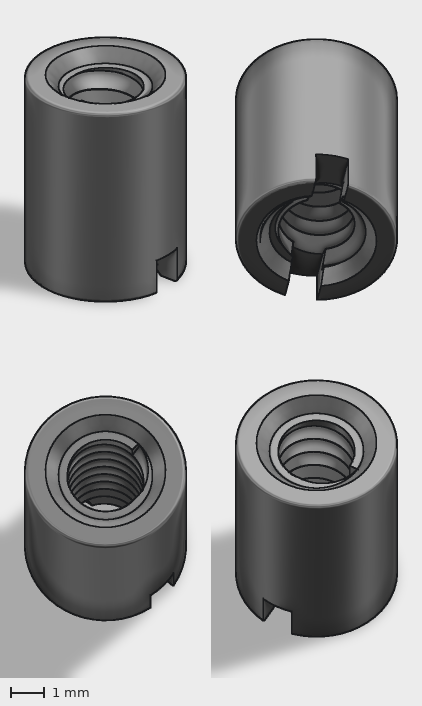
import cadquery as cq
import math

outer_diameter = 4.78
length = 6.4
rim_fillet = 0.12

bore_diameter = 2.26
thread_pitch = 0.635
thread_half_angle = math.radians(30)
crest_width = 0.02
thread_turns = 10
bore_overlap = 0.01

countersink_diameter = 3.55
ledge_diameter = 2.78
countersink_depth = (countersink_diameter - ledge_diameter) / 2

slot_width = 0.97
slot_depth = 1.15

bore_radius = bore_diameter / 2
ledge_radius = ledge_diameter / 2


def make_body():
    """Round sleeve with rounded outer rims."""
    body = cq.Workplane("XY").circle(outer_diameter / 2).extrude(length)
    return body.faces("<Z or >Z").edges().fillet(rim_fillet)


def make_bore():
    """Plain bore with a countersink at both ends, revolved about Z."""
    mouth_radius = countersink_diameter / 2
    top_ledge = length - countersink_depth
    profile = (
        cq.Workplane("XZ")
        .moveTo(0, 0)
        .lineTo(mouth_radius, 0)
        .lineTo(ledge_radius, countersink_depth)
        .lineTo(bore_radius, countersink_depth)
        .lineTo(bore_radius, top_ledge)
        .lineTo(ledge_radius, top_ledge)
        .lineTo(mouth_radius, length)
        .lineTo(0, length)
        .close()
    )
    return profile.revolve(360, (0, 0, 0), (0, 1, 0))


def make_thread_groove():
    """Right-hand V groove that starts on the -Y side of the top ledge and runs out at the bottom.

    At its start the upper flank meets the ledge at the outer edge of the ledge.
    """
    flank_slope = math.tan(thread_half_angle)
    half_width = (thread_pitch - crest_width) / 2
    root_radius = bore_radius + half_width / flank_slope
    inner_radius = bore_radius - bore_overlap
    inner_half_width = half_width + bore_overlap * flank_slope

    start_height = length - countersink_depth - (root_radius - ledge_radius) * flank_slope
    helix_height = thread_turns * thread_pitch
    helix = cq.Wire.makeHelix(thread_pitch, helix_height, bore_radius)
    groove = (
        cq.Workplane("XZ")
        .moveTo(inner_radius, -inner_half_width)
        .lineTo(root_radius, 0)
        .lineTo(inner_radius, inner_half_width)
        .close()
        .sweep(helix, isFrenet=True)
    )
    groove = groove.rotate((0, 0, 0), (0, 0, 1), -90)
    return groove.translate((0, 0, start_height - helix_height))


def make_slot():
    """Slot along X through the bottom end."""
    return cq.Workplane("XY").box(
        outer_diameter, slot_width, slot_depth, centered=(True, True, False)
    )


result = make_body().cut(make_thread_groove()).cut(make_bore()).cut(make_slot())